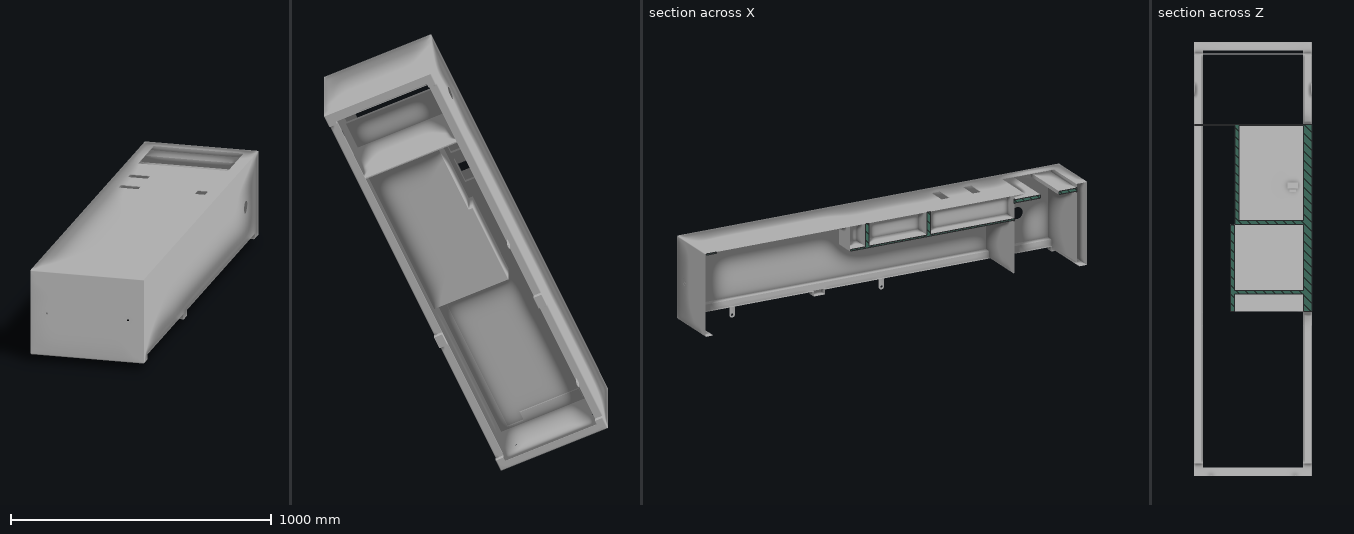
import cadquery as cq


width = 451.0
length = 1665.0
height = 341.0
sheet = 2.0
bend_radius = 5.0
foot_length = 50.0
foot_height = 20.0
middle_foot_y = 603.0
flange_width = 33.0

left = -width / 2
inner_left = left + sheet
roof_underside = height - sheet

roof_flange_depth = 5.0
roof_flange_left = 25.0
roof_flange_right = 33.0
roof_flange_front = 13.0
roof_flange_left_end = 550.0
roof_flange_right_end = 600.0
roof_tongue_end = 50.0
roof_tongue_width = 248.0

window_width = 358.0
window_y_min = 1392.0
window_y_max = 1617.0

slot_width = 80.0
slot_length = 35.0
slot_x = left + 93.0
slot_centres_y = [1099.0, 1235.0]
slot_frame_width = 102.0
slot_frame_y_min = 1015.0
slot_frame_y_max = 1297.0
slot_frame_openings_y = [1095.0, 1230.0]
slot_frame_opening_length = 108.0
slot_frame_depth = 17.0
slot_frame_rim = 8.0

latch_width = 42.0
latch_length = 45.0
latch_x = left + 378.0
latch_y = 1104.0

side_hole_diameter = 50.0
side_hole_y = 1482.0

screw_spacing = 323.0
screw_recess_diameter = 37.0
screw_recess_depth = 0.3
screw_hole_diameter = 8.0
hole_height = height / 2

ledge_depth = 17.0
ledge_top = height - ledge_depth
ledge_thickness = 15.0
front_ledge_edge = 1462.0
rear_ledge_edge = 1542.0
divider_y = 1345.0
divider_thickness = 5.0
end_wall_thickness = 5.0

rail_width = 27.0
rail_height = 27.0
rail_bottom = foot_height + sheet

tray_wall = 17.0
tray_depth = 100.0
tray_floor = 8.0
tray_front_wall = sheet
tray_right = left + 418.0
rear_tray_left = left + 171.0
front_tray_left = left + 155.0
tray_limits = [
    (front_tray_left, 633.0, 698.0, tray_front_wall),
    (front_tray_left, 715.0, 965.0, tray_wall),
    (rear_tray_left, 982.0, divider_y, tray_wall),
]

catch_width = 25.0
catch_length = 10.0
catch_height = 8.0
catch_offset = 10.0
catch_y = latch_y - catch_offset
step_height = 17.0

tab_width = 23.0
tab_drop = 25.0
tab_hole_diameter = 10.0
tab_centres_y = [225.0, 875.0]


def block(x_min, x_max, y_min, y_max, z_min, z_max):
    """Axis-aligned box given by its limits."""
    return cq.Workplane("XY").box(
        x_max - x_min, y_max - y_min, z_max - z_min, centered=False
    ).translate((x_min, y_min, z_min))


def centred_block(x, y, size_x, size_y, z_min, z_max):
    """Box centred on (x, y) between two levels."""
    return block(x - size_x / 2, x + size_x / 2, y - size_y / 2, y + size_y / 2, z_min, z_max)


def bottom_side_edges(body, y_min, y_max, level):
    """Lengthwise bottom edges along both sides, within a stretch of Y and at one level."""
    region = cq.selectors.BoxSelector(
        (left - sheet, y_min, level - sheet), (-left + sheet, y_max, level + sheet)
    )
    return body.edges("|Y").edges(region)


def cover_shell():
    """Hollow box standing on three pairs of feet, with bent bottom flanges and an open underside."""
    feet_y = [foot_length / 2, middle_foot_y, length - foot_length / 2]
    outside = block(left, -left, 0, length, 0, height)
    inside = block(inner_left, -inner_left, sheet, length - sheet, sheet, roof_underside)
    for foot_y, next_foot_y in zip(feet_y, feet_y[1:]):
        gap_start = foot_y + foot_length / 2
        gap_end = next_foot_y - foot_length / 2
        outside = outside.cut(block(left, -left, gap_start, gap_end, 0, foot_height))
        inside = inside.cut(
            block(left, -left, gap_start - sheet, gap_end + sheet, 0, foot_height + sheet)
        )
    bent_edges = outside.faces("<Y").edges("|X")
    bent_edges = bent_edges.add(bottom_side_edges(outside, 0, foot_length, 0))
    bent_edges = bent_edges.add(bottom_side_edges(outside, length - foot_length, length, 0))
    bent_edges = bent_edges.add(bottom_side_edges(outside, foot_length, length - foot_length, foot_height))
    outside = bent_edges.fillet(bend_radius)
    underside_opening = block(
        left + flange_width, -left - flange_width, flange_width, length - flange_width, 0, roof_underside
    )
    return outside.cut(inside).cut(underside_opening)


def slot_frame():
    """Rim below the roof with one opening around each slot."""
    x_min = slot_x - slot_frame_width / 2
    x_max = slot_x + slot_frame_width / 2
    bottom = roof_underside - slot_frame_depth
    frame = block(x_min, x_max, slot_frame_y_min, slot_frame_y_max, bottom, roof_underside)
    opening_width = slot_frame_width - 2 * slot_frame_rim
    for y in slot_frame_openings_y:
        frame = frame.cut(
            centred_block(slot_x, y, opening_width, slot_frame_opening_length, bottom, roof_underside)
        )
    return frame


def roof_flanges():
    """Stiffening flange below the roof: left, right and front strips, the front one with a wide tongue."""
    limits = [
        (inner_left, left + roof_flange_left, sheet, roof_flange_left_end),
        (-left - roof_flange_right, -inner_left, sheet, roof_flange_right_end),
        (inner_left, -inner_left, sheet, roof_flange_front),
        (-roof_tongue_width / 2, roof_tongue_width / 2, sheet, roof_tongue_end),
    ]
    flanges = cq.Workplane("XY")
    for x_min, x_max, y_min, y_max in limits:
        flanges = flanges.add(
            block(x_min, x_max, y_min, y_max, roof_underside - roof_flange_depth, roof_underside)
        )
    return flanges


def roof_openings():
    """Cutters for the window, the two slots and the latch opening."""
    window_y = (window_y_min + window_y_max) / 2
    window_length = window_y_max - window_y_min
    openings = centred_block(0, window_y, window_width, window_length, roof_underside, height)
    for y in slot_centres_y:
        openings = openings.add(centred_block(slot_x, y, slot_width, slot_length, roof_underside, height))
    return openings.add(
        centred_block(latch_x, latch_y, latch_width, latch_length, roof_underside, height)
    )


def side_hole():
    """Cutter for the round hole through both side walls."""
    return (
        cq.Workplane("YZ", origin=(left, side_hole_y, hole_height))
        .circle(side_hole_diameter / 2)
        .extrude(width)
    )


def screw_holes():
    """Cutters for the two recessed screw holes in the front wall."""
    wall = cq.Workplane("XZ", origin=(0, 0, hole_height)).pushPoints(
        [(-screw_spacing / 2, 0), (screw_spacing / 2, 0)]
    )
    recesses = wall.circle(screw_recess_diameter / 2).extrude(-screw_recess_depth)
    holes = wall.circle(screw_hole_diameter / 2).extrude(-sheet)
    return recesses.union(holes)


def make_cover():
    """Shell with its stiffeners and all its openings."""
    cover = cover_shell().union(slot_frame())
    for flange in roof_flanges().vals():
        cover = cover.union(flange)
    for opening in roof_openings().vals():
        cover = cover.cut(opening)
    return cover.cut(side_hole()).cut(screw_holes())


def make_end_compartment():
    """Divider, end wall and the two ledges below the window."""
    ledge_bottom = ledge_top - ledge_thickness
    end_wall_back = window_y_max + end_wall_thickness
    divider_back = divider_y + divider_thickness
    divider = block(inner_left, -inner_left, divider_y, divider_back, rail_bottom, roof_underside)
    end_wall = block(inner_left, -inner_left, window_y_max, end_wall_back, rail_bottom, roof_underside)
    front_ledge = block(inner_left, -inner_left, divider_y, front_ledge_edge, ledge_bottom, ledge_top)
    rear_ledge = block(inner_left, -inner_left, rear_ledge_edge, window_y_max, ledge_bottom, ledge_top)
    return divider.union(end_wall).union(front_ledge).union(rear_ledge)


def make_trays():
    """Row of open-topped trays below the roof, running up to the divider."""
    bottom = roof_underside - tray_depth
    trays = cq.Workplane("XY")
    for x_min, y_min, y_max, front_wall in tray_limits:
        outside = block(x_min - tray_wall, -inner_left, y_min - front_wall, y_max, bottom, roof_underside)
        inside = block(x_min, tray_right, y_min, y_max, bottom + tray_floor, roof_underside)
        trays = trays.union(outside.cut(inside))
    return trays


def make_latch_catch():
    """Step and catch on the tray floor, below the latch opening."""
    floor = roof_underside - tray_depth + tray_floor
    step_y = latch_y + latch_length / 2
    step = block(
        latch_x - latch_width / 2, latch_x + latch_width / 2, latch_y, step_y, floor, floor + step_height
    )
    catch = centred_block(latch_x, catch_y, catch_width, catch_length, floor, floor + catch_height)
    return step.union(catch)


def make_rail(x_min):
    """Bottom rail along one side of the cover."""
    rear = window_y_max + end_wall_thickness
    return block(x_min, x_min + rail_width, foot_length, rear, rail_bottom, rail_bottom + rail_height)


def make_tab(y):
    """Thin hanging tab with a rounded end and a hole."""
    end_radius = tab_width / 2
    end_z = end_radius - tab_drop
    x = inner_left + rail_width - sheet
    top = rail_bottom + rail_height
    profile = (
        cq.Workplane("YZ", origin=(x, y, 0))
        .moveTo(-end_radius, top)
        .lineTo(-end_radius, end_z)
        .threePointArc((0, -tab_drop), (end_radius, end_z))
        .lineTo(end_radius, top)
        .close()
        .extrude(sheet)
    )
    hole = cq.Workplane("YZ", origin=(x, y, end_z)).circle(tab_hole_diameter / 2).extrude(sheet)
    return profile.cut(hole)


def make_chassis():
    """End compartment, trays and bottom rails with their hanging tabs, joined into one solid."""
    chassis = make_end_compartment().union(make_trays()).union(make_latch_catch())
    for x_min in (inner_left, -inner_left - rail_width):
        chassis = chassis.union(make_rail(x_min))
    for y in tab_centres_y:
        chassis = chassis.union(make_tab(y))
    return chassis


chassis = make_chassis()
cover = make_cover().cut(chassis)

result = cq.Compound.makeCompound([cover.solids().val(), chassis.solids().val()])